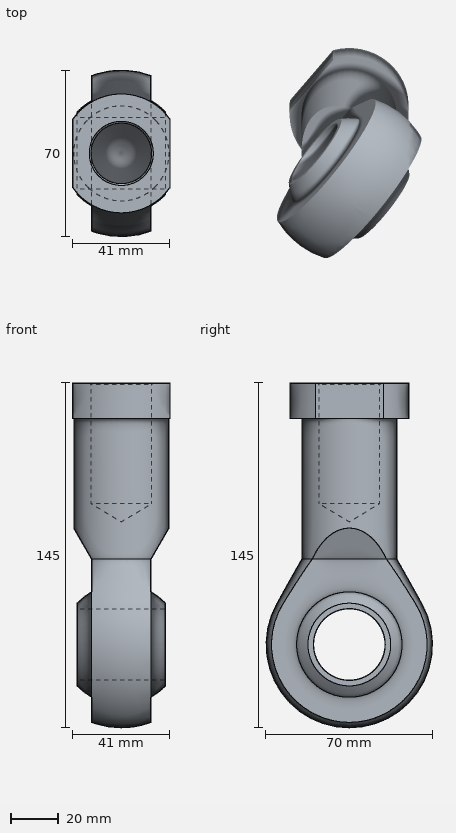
import cadquery as cq
import math

total_height = 145.0

eye_diameter = 70.0
eye_radius = eye_diameter / 2
eye_center_z = eye_radius
eye_thickness = 25.0

ball_diameter = 50.9
ball_width = 37.1
bore_diameter = 30.0

shank_diameter = 40.0
shank_radius = shank_diameter / 2
shank_bottom_z = 70.9
flat_slope_angle = 60.0

head_diameter = 50.0
head_height = 15.0
head_across_flats = 41.0

hole_diameter = 25.5
hole_mouth_diameter = 27.0
hole_depth = 50.8
drill_point_angle = 118.0

cut_margin = 14.5


def make_eye_and_shank():
    """Sphere, tangent cone and cylinder revolved about Z in one profile."""
    shank_rise = shank_bottom_z - eye_center_z
    edge_distance = math.hypot(shank_radius, shank_rise)
    edge_angle = math.atan2(shank_rise, shank_radius)
    tangent_angle = edge_angle - math.acos(eye_radius / edge_distance)
    tangent_r = eye_radius * math.cos(tangent_angle)
    tangent_z = eye_center_z + eye_radius * math.sin(tangent_angle)
    return (
        cq.Workplane("XZ")
        .moveTo(0, 0)
        .threePointArc((eye_radius * math.cos(tangent_angle / 2 - math.pi / 4),
                        eye_center_z + eye_radius * math.sin(tangent_angle / 2 - math.pi / 4)),
                       (tangent_r, tangent_z))
        .lineTo(shank_radius, shank_bottom_z)
        .lineTo(shank_radius, total_height)
        .lineTo(0, total_height)
        .close()
        .revolve(360, (0, 0, 0), (0, 1, 0))
    )


def make_side_envelope():
    """Slab of eye thickness that widens along sloping flats to clear the shank."""
    half_thickness = eye_thickness / 2
    half_width = shank_radius + cut_margin
    slope_rise = (half_width - half_thickness) * math.tan(math.radians(flat_slope_angle))
    slope_top_z = shank_bottom_z + slope_rise
    return (
        cq.Workplane("XZ")
        .polyline([
            (-half_thickness, 0),
            (half_thickness, 0),
            (half_thickness, shank_bottom_z),
            (half_width, slope_top_z),
            (half_width, total_height),
            (-half_width, total_height),
            (-half_width, slope_top_z),
            (-half_thickness, shank_bottom_z),
        ])
        .close()
        .extrude(eye_radius + cut_margin, both=True)
    )


def make_head():
    """Round head with two flats facing +X and -X."""
    head_bottom = cq.Workplane("XY").workplane(offset=total_height - head_height)
    flats = head_bottom.rect(head_across_flats, head_diameter).extrude(head_height)
    return head_bottom.circle(head_diameter / 2).extrude(head_height).intersect(flats)


def make_ball():
    """Bearing ball with flat end faces, revolved about the X axis of the eye."""
    half_width = ball_width / 2
    ball_radius = ball_diameter / 2
    face_radius = math.sqrt(ball_radius**2 - half_width**2)
    return (
        cq.Workplane("XY")
        .moveTo(-half_width, 0)
        .lineTo(-half_width, face_radius)
        .threePointArc((0, ball_radius), (half_width, face_radius))
        .lineTo(half_width, 0)
        .close()
        .revolve(360, (0, 0, 0), (1, 0, 0))
        .translate((0, 0, eye_center_z))
    )


def make_bore():
    """Through bore of the ball, along X."""
    return (
        cq.Workplane("YZ", origin=(-ball_width, 0, eye_center_z))
        .circle(bore_diameter / 2)
        .extrude(2 * ball_width)
    )


def make_blind_hole():
    """Blind hole with a chamfered mouth and a drill-point bottom."""
    hole_radius = hole_diameter / 2
    mouth_radius = hole_mouth_diameter / 2
    chamfer = mouth_radius - hole_radius
    bottom_z = total_height - hole_depth
    tip_depth = hole_radius / math.tan(math.radians(drill_point_angle / 2))
    return (
        cq.Workplane("XZ")
        .polyline([
            (0, bottom_z - tip_depth),
            (hole_radius, bottom_z),
            (hole_radius, total_height - chamfer),
            (mouth_radius, total_height),
            (0, total_height),
        ])
        .close()
        .revolve(360, (0, 0, 0), (0, 1, 0))
    )


body = make_eye_and_shank().intersect(make_side_envelope())
body = body.union(make_head()).union(make_ball())
result = body.cut(make_bore()).cut(make_blind_hole())